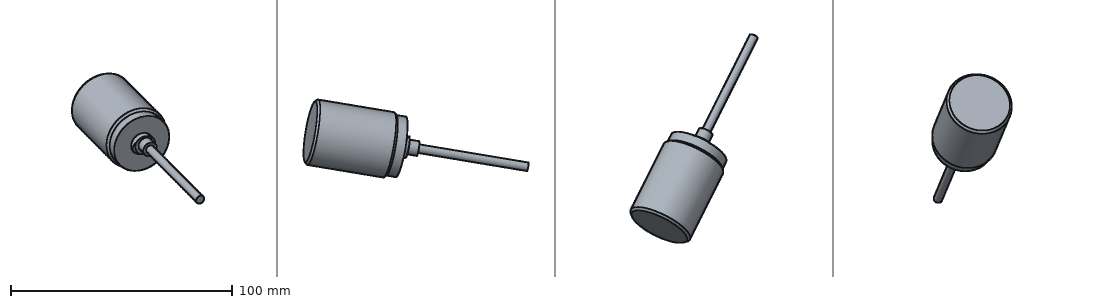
import cadquery as cq

overall_length = 100.8
body_end = 37.4
cap_end = 41.9
boss_end = 45.1
collar_end = 49.9

body_radius = 15.0
body_chamfer = 1.1
cap_radius = body_radius - body_chamfer
boss_radius = 5.3
collar_radius = 3.4
cable_radius = 2.0

cable_y = 0.25
cable_z = 1.0

trim_base_radius = 6.4
trim_end_radius = 5.0


def rod(start, end, radius, y=0.0, z=0.0):
    """Cylinder along X between two positions."""
    return cq.Workplane("YZ", origin=(start, y, z)).circle(radius).extrude(end - start)


def trimmed_boss():
    """Short round boss with an off-centre conical bevel."""
    length = boss_end - cap_end
    cone = cq.Solid.makeCone(
        trim_base_radius,
        trim_end_radius,
        length,
        cq.Vector(cap_end, cable_y, cable_z),
        cq.Vector(1, 0, 0),
    )
    return rod(cap_end, boss_end, boss_radius).intersect(cq.Workplane(cone))


body = rod(0, body_end, body_radius).faces("<X or >X").chamfer(body_chamfer)
cap = rod(body_end, cap_end, cap_radius)
collar = rod(boss_end, collar_end, collar_radius, cable_y, cable_z)
cable = rod(collar_end, overall_length, cable_radius, cable_y, cable_z)

part = body.union(cap).union(trimmed_boss()).union(collar).union(cable)

result = part.translate((-overall_length / 2, 0, 0))